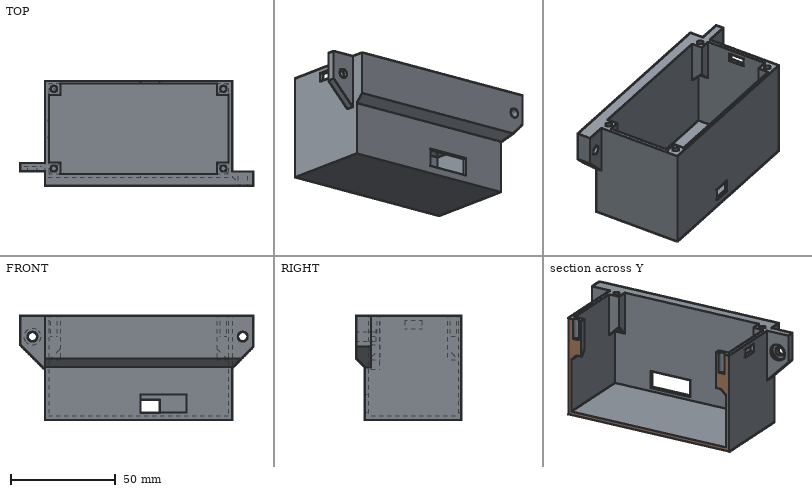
import cadquery as cq

length = 111.6
depth = 50.2
height = 50.0
body_left = 11.8
body_right = 101.6
front_face = 4.0

end_wall = 2.0
back_wall = 1.2
cavity_front = 5.8
floor = 2.0
cavity_left = body_left + end_wall
cavity_right = body_right - end_wall
cavity_back = depth - back_wall

post_size = 5.5
post_height = 21.2
post_slope_rise = 5.4
screw_diameter = 3.0
screw_depth = 10.0
screw_inset_x = 2.3
screw_inset_y = 2.6

rail_bottom = 25.5
ear_front = 7.0
ear_thickness = 4.0
ear_hole_diameter = 4.5
ear_hole_inset_left = 5.9
ear_hole_inset_right = 5.1
ear_hole_z = 40.0
counterbore_diameter = 8.0
counterbore_depth = 1.7
left_ear_bottom = 24.2
right_ear_bottom = 25.1

window_sill = 3.7
window_left = 57.7
front_window_width = 22.0
front_window_height = 8.7
back_window_width = 9.0
back_window_height = 6.0
side_slot_y = 23.2
side_slot_width = 8.1
side_slot_z = 43.5
side_slot_height = 4.1


def block(x0, x1, y0, y1, z0, z1):
    """Box between two opposite corners."""
    return cq.Workplane("XY").box(x1 - x0, y1 - y0, z1 - z0, centered=False).translate((x0, y0, z0))


def plate(outline, y0, y1):
    """Plate with an XZ outline, running from y0 to y1."""
    return cq.Workplane("XZ", origin=(0, y1, 0)).polyline(outline).close().extrude(y1 - y0)


def corner_post(x, y, x_side, y_side):
    """Post in a cavity corner; x_side and y_side point into the cavity."""
    wedge_outline = [
        (0, height),
        (0, height - post_height),
        (post_size, height - post_height + post_slope_rise),
        (post_size, height),
    ]
    y_wall_wedge = cq.Workplane("YZ").polyline(wedge_outline).close().extrude(post_size)
    x_wall_wedge = cq.Workplane("XZ").polyline(wedge_outline).close().extrude(-post_size)
    post = x_wall_wedge.union(y_wall_wedge)
    if x_side < 0:
        post = post.mirror("YZ")
    if y_side < 0:
        post = post.mirror("XZ")
    return post.translate((x, y, 0))


body = block(body_left, body_right, front_face, depth, 0, height)
cavity = block(cavity_left, cavity_right, cavity_front, cavity_back, floor, height)

rail = (
    cq.Workplane("YZ", origin=(body_left, 0, 0))
    .polyline([
        (0, height),
        (0, rail_bottom + front_face),
        (front_face, rail_bottom),
        (front_face, 0),
        (ear_front, 0),
        (ear_front, height),
    ])
    .close()
    .extrude(length - body_left)
)
rail_outline = plate(
    [
        (body_left, height),
        (length, height),
        (length, right_ear_bottom + length - body_right),
        (body_right, right_ear_bottom),
        (body_right, 0),
        (body_left, 0),
    ],
    0,
    ear_front,
)
rail = rail.intersect(rail_outline)

left_ear = plate(
    [
        (0, height),
        (body_left, height),
        (body_left, left_ear_bottom),
        (0, left_ear_bottom + body_left),
    ],
    ear_front,
    ear_front + ear_thickness,
)

result = body.union(rail).union(left_ear).cut(cavity)

for x, x_side in ((cavity_left, 1), (cavity_right, -1)):
    for y, y_side in ((cavity_front, 1), (cavity_back, -1)):
        screw_hole = (
            cq.Workplane("XY", origin=(x + x_side * screw_inset_x, y + y_side * screw_inset_y, height))
            .circle(screw_diameter / 2)
            .extrude(-screw_depth)
        )
        result = result.union(corner_post(x, y, x_side, y_side)).cut(screw_hole)

for x in (ear_hole_inset_left, length - ear_hole_inset_right):
    ear_hole = cq.Workplane("XZ", origin=(x, 0, ear_hole_z)).circle(ear_hole_diameter / 2)
    ear_hole = ear_hole.extrude(-(ear_front + ear_thickness))
    result = result.cut(ear_hole)

counterbore = (
    cq.Workplane("XZ", origin=(ear_hole_inset_left, ear_front + ear_thickness, ear_hole_z))
    .circle(counterbore_diameter / 2)
    .extrude(counterbore_depth)
)
result = result.cut(counterbore)

front_window = block(
    window_left,
    window_left + front_window_width,
    0, cavity_front,
    window_sill,
    window_sill + front_window_height
)
back_window = block(
    window_left,
    window_left + back_window_width,
    cavity_back, depth,
    window_sill,
    window_sill + back_window_height
)
side_slot = block(
    body_left, cavity_left,
    side_slot_y, side_slot_y + side_slot_width,
    side_slot_z, side_slot_z + side_slot_height,
)
result = result.cut(front_window).cut(back_window).cut(side_slot)